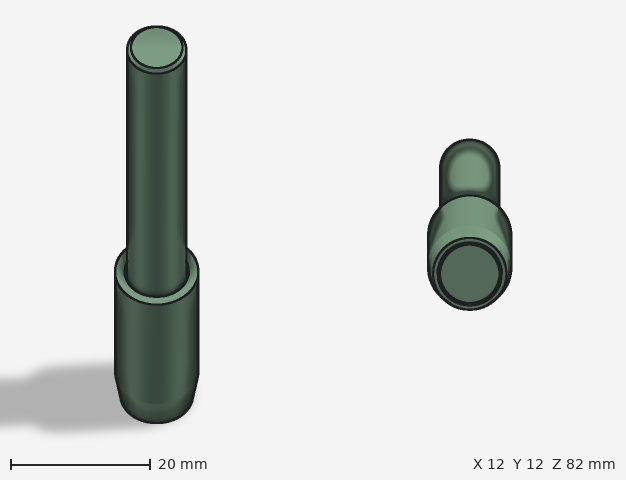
import cadquery as cq

total_height = 82.0

sleeve_diameter = 12.0
sleeve_height = 29.0
bore_diameter = 9.2
taper_height = 5.4
taper_end_diameter = 10.5

rod_diameter = 8.5
rod_chamfer = 0.6


def make_sleeve():
    """Tube with a tapered lower end and a through bore."""
    bore_radius = bore_diameter / 2
    outer_radius = sleeve_diameter / 2
    return (
        cq.Workplane("XZ")
        .moveTo(bore_radius, 0)
        .lineTo(taper_end_diameter / 2, 0)
        .lineTo(outer_radius, taper_height)
        .lineTo(outer_radius, sleeve_height)
        .lineTo(bore_radius, sleeve_height)
        .close()
        .revolve(360, (0, 0, 0), (0, 1, 0))
    )


def make_rod():
    """Full-length straight rod with a chamfered top."""
    return (
        cq.Workplane("XY")
        .circle(rod_diameter / 2)
        .extrude(total_height)
        .faces(">Z")
        .chamfer(rod_chamfer)
    )


sleeve = make_sleeve()
rod = make_rod()
result = cq.Compound.makeCompound([sleeve.val(), rod.val()])